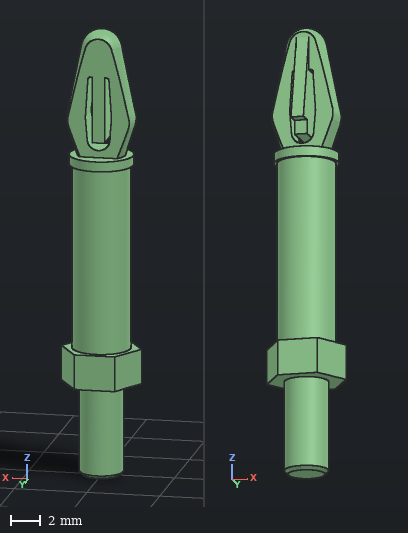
import cadquery as cq
import math

total_height = 30.98
pin_diameter = 3.0
pin_chamfer = 0.25
hex_bottom = 6.4
hex_top = 8.83
hex_across_corners = 5.55
post_diameter = 4.0
collar_diameter = 4.4
collar_bottom = 21.6
collar_top = 22.27

head_thickness = 2.08
nose_radius = 1.4
nose_tangent_angle = math.radians(12)
bulge_radius = 2.35
bulge_height = 24.88
upper_bulge_radius = 2.3
upper_bulge_height = 25.25
lower_bulge_radius = 2.3
lower_bulge_height = 24.32
neck_radius = 1.65

window_top = 27.85
window_top_half_width = 0.7
window_top_fillet = 0.2
window_widest = 25.03
window_half_width = 0.9
window_lower_half_width = 0.77
window_lower_height = 23.5
window_bottom = 22.77

tongue_width = 0.87
tongue_top = 30.1
tongue_bottom = 23.3
tongue_back = head_thickness / 2
catch_height = 24.25
catch_tip = -2.495
step_front = -1.52


def cylinder(diameter, bottom, top):
    return cq.Workplane("XY").workplane(offset=bottom).circle(diameter / 2).extrude(top - bottom)


def make_body():
    pin = cylinder(pin_diameter, 0, hex_bottom).faces("<Z").chamfer(pin_chamfer)
    hexagon = (
        cq.Workplane("XY")
        .workplane(offset=hex_bottom)
        .polygon(6, hex_across_corners)
        .extrude(hex_top - hex_bottom)
    )
    post = cylinder(post_diameter, hex_top, collar_bottom)
    collar = cylinder(collar_diameter, collar_bottom, collar_top)
    return pin.union(hexagon).union(post).union(collar)


def make_bulb():
    nose_center = total_height - nose_radius

    def nose_point(angle):
        return nose_radius * math.cos(angle), nose_center + nose_radius * math.sin(angle)

    nose_middle_angle = (nose_tangent_angle + math.pi / 2) / 2
    bulb = (
        cq.Workplane("XZ")
        .moveTo(0, collar_top)
        .lineTo(neck_radius, collar_top)
        .lineTo(lower_bulge_radius, lower_bulge_height)
        .threePointArc((bulge_radius, bulge_height), (upper_bulge_radius, upper_bulge_height))
        .lineTo(*nose_point(nose_tangent_angle))
        .threePointArc(nose_point(nose_middle_angle), (0, total_height))
        .close()
        .revolve(360, (0, 0), (0, 1))
    )
    blade = cq.Workplane("XY").box(
        2 * bulge_radius, head_thickness, total_height, centered=(True, True, False)
    )
    return bulb.intersect(blade)


def make_window():
    return (
        cq.Workplane("XZ")
        .moveTo(-window_top_half_width, window_top)
        .lineTo(window_top_half_width, window_top)
        .lineTo(window_half_width, window_widest)
        .lineTo(window_lower_half_width, window_lower_height)
        .threePointArc((0, window_bottom), (-window_lower_half_width, window_lower_height))
        .lineTo(-window_half_width, window_widest)
        .close()
        .extrude(head_thickness / 2, both=True)
        .edges("|Y and >Z")
        .fillet(window_top_fillet)
    )


def make_tongue():
    head_front = -head_thickness / 2
    profile = [
        (tongue_back, window_top),
        (head_front, tongue_top),
        (catch_tip, catch_height),
        (step_front, catch_height),
        (step_front, tongue_bottom),
        (tongue_back, tongue_bottom),
    ]
    return cq.Workplane("YZ").polyline(profile).close().extrude(tongue_width / 2, both=True)


head = make_bulb().cut(make_window()).union(make_tongue())
result = make_body().union(head)